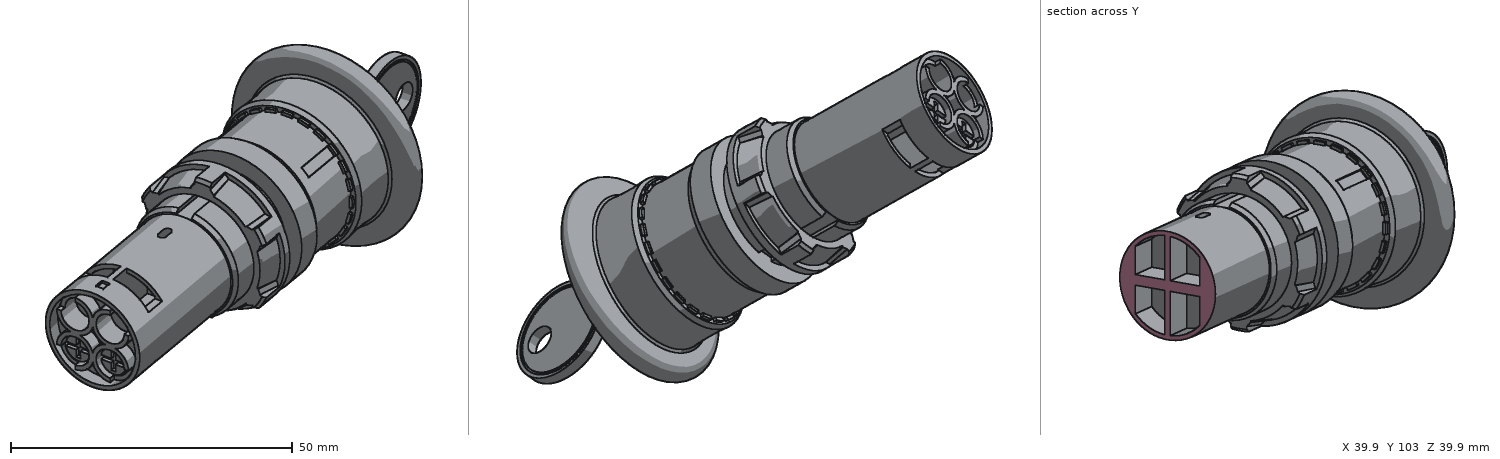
import cadquery as cq
import math


TOTAL_LENGTH = 103.0
CAP_TOP_Y = 79.6
CAP_RIM_Y = 74.7
CAP_BOTTOM_Y = 71.8
SLEEVE_END_Y = 62.4
FLANGE_BACK_Y = 51.4
FLANGE_EDGE_Y = 49.9
FLANGE_FRONT_Y = 45.0
NUT_BACK_Y = 41.5
NUT_FRONT_Y = 34.9
NECK_FRONT_Y = 29.0

KEY_DIAMETER = 19.9
KEY_THICKNESS = 2.2
KEY_CENTRE_Z = -2.0
KEY_NECK_WIDTH = 8.2
KEY_NECK_FILLET = 1.0
KEY_GROOVE_OUTER = 18.3
KEY_GROOVE_INNER = 17.5
KEY_GROOVE_DEPTH = 0.2
KEY_HOLE_DIAMETER = 5.5
KEY_HOLE_OFFSET = 4.5

CAP_DIAMETER = 39.9
CAP_FACE_DIAMETER = 21.0
CAP_FACE_EDGE_HEIGHT = 0.2
CAP_COLLAR_DIAMETER = 31.1
CAP_COLLAR_HEIGHT = 0.4
CAP_RIM_HEIGHT = 4.6
CAP_RIM_INNER_RADIUS = 17.8
SLEEVE_DIAMETER = 30.1
SLEEVE_WAIST_DIAMETER = 29.7
SLEEVE_CHAMFER = 0.6
TOOTH_COUNT = 24
TOOTH_RING_DIAMETER = 28.0
TOOTH_WIDTH = 2.3
TOOTH_HEIGHT = 0.6

TUBE_DIAMETER = 26.8
FLANGE_DIAMETER = 29.0
NECK_DIAMETER = 22.1
NECK_CHAMFER_HEIGHT = 0.9
NECK_CHAMFER_WIDTH = 0.6
BARREL_DIAMETER = 20.2

TUBE_SLOT_WIDTH = 2.2
TUBE_SLOT_LENGTH = 8.8
TUBE_SLOT_FLOOR_DIAMETER = 25.5
TUBE_SLOT_ANGLES = (45, 135)

NECK_SLOT_WIDTH = 3.3

LATCH_HOLE_WIDTH = 1.6
LATCH_HOLE_LENGTH = 3.3
LATCH_HOLE_Y = 23.0
LATCH_HOLE_DEPTH = 2.1

MARK_WIDTH = 1.6
MARK_LENGTH = 2.1
MARK_Y = 3.2
MARK_DEPTH = 0.5

WINDOW_FRONT_Y = 5.7
WINDOW_BACK_Y = 9.9
WINDOW_SILL_Z = 5.9
WINDOW_RIB_THICKNESS = 1.2
CAVITY_WIDTH = 6.1
CAVITY_BACK_Y = 16.5
CAVITY_ROOF_DIAMETER = 18.3
CAVITY_FLOOR_Z = 1.0

RECESS_DIAMETER = 18.3
RECESS_DEPTH = 2.6
TERMINAL_OFFSET = 3.76
BOSS_DIAMETER = 7.8
BOSS_STEP = 1.2
TERMINAL_HOLE_DIAMETER = 6.0
TERMINAL_HOLE_DEPTH = 4.6
SCREW_DIAMETER = 5.4
SCREW_TOP_Y = 1.0
SCREW_SLOT_WIDTH = 0.9
SCREW_CROSS_LENGTH = 4.0
SCREW_SLOT_DEPTH = 0.8

NUT_DIAMETER = 29.0
NUT_FLANGE_FRONT_Y = 39.7
NUT_BACK_BEVEL_WIDTH = 1.3
NUT_BACK_BEVEL_HEIGHT = 0.3
NUT_CHAMFER = 0.6
NUT_CORE_BACK_RADIUS = 13.5
NUT_CORE_FRONT_RADIUS = 12.7
NUT_FACE_RADIUS = 12.4
RIB_COUNT = 6
RIB_WIDTH = 3.4
RIB_BASE_WIDTH = 4.9
RIB_FLARE_HEIGHT = 0.6


def axial_sketch(y):
    """Workplane square to the axis; a negative extrusion grows toward +Y."""
    return cq.Workplane("XZ", origin=(0, y, 0))


def axial_cylinder(diameter, y_start, y_end, x=0.0, z=0.0):
    return axial_sketch(y_start).center(x, z).circle(diameter / 2).extrude(y_start - y_end)


def block(x_range, y_range, z_range):
    """Box between the given limits."""
    limits = (x_range, y_range, z_range)
    sizes = [high - low for low, high in limits]
    corner = [low for low, _ in limits]
    return cq.Workplane("XY").box(*sizes, centered=False).translate(tuple(corner))


def revolve_about_axis(outline):
    return outline.close().revolve(360, (0, 0, 0), (0, 1, 0))


def around_axis(body, angle):
    return body.rotate((0, 0, 0), (0, 1, 0), angle)


def make_key():
    head_y = TOTAL_LENGTH - KEY_DIAMETER / 2
    half_thickness = KEY_THICKNESS / 2
    sheet = cq.Workplane("YZ", origin=(-half_thickness, 0, 0)).center(head_y, KEY_CENTRE_Z)
    neck_length = head_y - CAP_TOP_Y
    head = sheet.circle(KEY_DIAMETER / 2).extrude(KEY_THICKNESS)
    neck = sheet.center(-neck_length / 2, 0).rect(neck_length, KEY_NECK_WIDTH).extrude(KEY_THICKNESS)
    root_y = head_y - math.sqrt((KEY_DIAMETER / 2) ** 2 - (KEY_NECK_WIDTH / 2) ** 2)
    upper_root = (0, root_y, KEY_CENTRE_Z + KEY_NECK_WIDTH / 2)
    key = head.union(neck)
    key = key.edges(cq.selectors.NearestToPointSelector(upper_root)).fillet(KEY_NECK_FILLET)

    hole = sheet.center(KEY_HOLE_OFFSET, 0).circle(KEY_HOLE_DIAMETER / 2).extrude(KEY_THICKNESS)
    key = key.cut(hole)
    groove = (
        sheet.circle(KEY_GROOVE_OUTER / 2).circle(KEY_GROOVE_INNER / 2).extrude(KEY_GROOVE_DEPTH)
    )
    return key.cut(groove).cut(groove.mirror("YZ"))


def make_button():
    sleeve_radius = SLEEVE_DIAMETER / 2
    chamfer_y = SLEEVE_END_Y + SLEEVE_CHAMFER * 1.5
    rim_top_y = CAP_RIM_Y + CAP_RIM_HEIGHT / 2
    rim_bottom_y = CAP_RIM_Y - CAP_RIM_HEIGHT / 2
    outline = (
        cq.Workplane("XY")
        .moveTo(0, CAP_TOP_Y)
        .lineTo(CAP_FACE_DIAMETER / 2, CAP_TOP_Y)
        .lineTo(CAP_FACE_DIAMETER / 2, CAP_TOP_Y - CAP_FACE_EDGE_HEIGHT)
        .lineTo(CAP_RIM_INNER_RADIUS, rim_top_y)
        .threePointArc((CAP_DIAMETER / 2, CAP_RIM_Y), (CAP_RIM_INNER_RADIUS, rim_bottom_y))
        .lineTo(CAP_COLLAR_DIAMETER / 2, CAP_BOTTOM_Y + CAP_COLLAR_HEIGHT)
        .lineTo(sleeve_radius, CAP_BOTTOM_Y)
        .threePointArc(
            (SLEEVE_WAIST_DIAMETER / 2, (CAP_BOTTOM_Y + chamfer_y) / 2), (sleeve_radius, chamfer_y)
        )
        .lineTo(sleeve_radius - SLEEVE_CHAMFER, SLEEVE_END_Y)
        .lineTo(0, SLEEVE_END_Y)
    )
    button = revolve_about_axis(outline)

    tooth_ring = axial_cylinder(TOOTH_RING_DIAMETER, SLEEVE_END_Y - TOOTH_HEIGHT, SLEEVE_END_Y)
    tooth_ring = tooth_ring.cut(axial_cylinder(TUBE_DIAMETER, 0, SLEEVE_END_Y))
    tooth_sector = block(
        (-TOOTH_WIDTH / 2, TOOTH_WIDTH / 2),
        (SLEEVE_END_Y - TOOTH_HEIGHT, SLEEVE_END_Y),
        (0, TOOTH_RING_DIAMETER),
    )
    tooth = tooth_ring.intersect(tooth_sector)
    for index in range(TOOTH_COUNT):
        button = button.union(around_axis(tooth, index * 360 / TOOTH_COUNT))
    return button


def housing_blank():
    barrel = BARREL_DIAMETER / 2
    neck = NECK_DIAMETER / 2
    flange = FLANGE_DIAMETER / 2
    tube = TUBE_DIAMETER / 2
    outline = cq.Workplane("XY").polyline(
        [
            (0, 0),
            (barrel, 0),
            (barrel, NECK_FRONT_Y),
            (neck - NECK_CHAMFER_WIDTH, NECK_FRONT_Y),
            (neck, NECK_FRONT_Y + NECK_CHAMFER_HEIGHT),
            (neck, FLANGE_FRONT_Y),
            (flange, FLANGE_FRONT_Y),
            (flange, FLANGE_EDGE_Y),
            (tube, FLANGE_BACK_Y),
            (tube, SLEEVE_END_Y),
            (0, SLEEVE_END_Y),
        ]
    )
    return revolve_about_axis(outline)


def cut_tube_slots(housing):
    slot = block(
        (TUBE_SLOT_FLOOR_DIAMETER / 2, TUBE_DIAMETER),
        (SLEEVE_END_Y - TUBE_SLOT_LENGTH, SLEEVE_END_Y),
        (-TUBE_SLOT_WIDTH / 2, TUBE_SLOT_WIDTH / 2),
    )
    for angle in TUBE_SLOT_ANGLES:
        housing = housing.cut(around_axis(slot, -angle))
    return housing


def cut_neck_slots(housing):
    slot = block(
        (-NECK_SLOT_WIDTH / 2, NECK_SLOT_WIDTH / 2),
        (NECK_FRONT_Y, FLANGE_FRONT_Y),
        (BARREL_DIAMETER / 2, NECK_DIAMETER),
    )
    return housing.cut(slot).cut(around_axis(slot, 180))


def cut_top_marks(housing):
    barrel_top = cq.Workplane("XY", origin=(0, 0, BARREL_DIAMETER / 2))
    latch_hole = (
        barrel_top.center(0, LATCH_HOLE_Y)
        .slot2D(LATCH_HOLE_LENGTH, LATCH_HOLE_WIDTH, 90)
        .extrude(-LATCH_HOLE_DEPTH)
    )
    mark = barrel_top.center(0, MARK_Y).rect(MARK_WIDTH, MARK_LENGTH).extrude(-MARK_DEPTH)
    return housing.cut(latch_hole).cut(mark)


def cut_windows(housing):
    """Four corner windows, each opening into a longer cavity inside the barrel wall."""
    y_range = (WINDOW_FRONT_Y, WINDOW_BACK_Y)
    rib_side = WINDOW_RIB_THICKNESS / 2
    opening = block((rib_side, BARREL_DIAMETER), y_range, (WINDOW_SILL_Z, BARREL_DIAMETER))
    shaft = block(
        (rib_side, rib_side + CAVITY_WIDTH),
        (WINDOW_FRONT_Y, CAVITY_BACK_Y),
        (CAVITY_FLOOR_Z, BARREL_DIAMETER),
    )
    cavity = shaft.intersect(axial_cylinder(CAVITY_ROOF_DIAMETER, WINDOW_FRONT_Y, CAVITY_BACK_Y))
    window = opening.union(cavity)
    top_pair = window.union(window.mirror("YZ"))
    return housing.cut(top_pair).cut(top_pair.mirror("XY"))


def terminal_boss(side_x, side_z):
    """Hollow boss whose outward quarter is stepped down from the end face."""
    x = side_x * TERMINAL_OFFSET
    z = side_z * TERMINAL_OFFSET
    boss = axial_cylinder(BOSS_DIAMETER, 0, RECESS_DEPTH, x, z)
    quarter = (
        axial_sketch(0)
        .center(x + side_x * BOSS_DIAMETER / 2, z + side_z * BOSS_DIAMETER / 2)
        .rect(BOSS_DIAMETER, BOSS_DIAMETER)
        .extrude(-BOSS_STEP)
    )
    return boss.cut(quarter)


def terminal_screw(side_x):
    """Screw head with a full-width slot and a shorter crossing slot."""
    x = side_x * TERMINAL_OFFSET
    z = -TERMINAL_OFFSET
    screw = axial_cylinder(SCREW_DIAMETER, SCREW_TOP_Y, TERMINAL_HOLE_DEPTH, x, z)
    face = axial_sketch(SCREW_TOP_Y).center(x, z)
    slot = face.rect(SCREW_DIAMETER, SCREW_SLOT_WIDTH).extrude(-SCREW_SLOT_DEPTH)
    cross = face.rect(SCREW_SLOT_WIDTH, SCREW_CROSS_LENGTH).extrude(-SCREW_SLOT_DEPTH)
    return screw.cut(slot).cut(cross)


def add_terminals(housing):
    corners = [(side_x, side_z) for side_x in (-1, 1) for side_z in (-1, 1)]
    housing = housing.cut(axial_cylinder(RECESS_DIAMETER, 0, RECESS_DEPTH))
    for side_x, side_z in corners:
        housing = housing.union(terminal_boss(side_x, side_z))
    for side_x, side_z in corners:
        hole = axial_cylinder(
            TERMINAL_HOLE_DIAMETER, 0, TERMINAL_HOLE_DEPTH,
            side_x * TERMINAL_OFFSET, side_z * TERMINAL_OFFSET,
        )
        housing = housing.cut(hole)
    for side_x in (-1, 1):
        housing = housing.union(terminal_screw(side_x))
    return housing


def make_housing():
    housing = housing_blank()
    housing = cut_tube_slots(housing)
    housing = cut_neck_slots(housing)
    housing = add_terminals(housing)
    housing = cut_windows(housing)
    return cut_top_marks(housing)


def nut_envelope():
    radius = NUT_DIAMETER / 2
    outline = cq.Workplane("XY").polyline(
        [
            (NECK_DIAMETER / 2, NUT_FRONT_Y),
            (radius - NUT_CHAMFER, NUT_FRONT_Y),
            (radius, NUT_FRONT_Y + NUT_CHAMFER),
            (radius, NUT_BACK_Y - NUT_BACK_BEVEL_HEIGHT),
            (radius - NUT_BACK_BEVEL_WIDTH, NUT_BACK_Y),
            (NECK_DIAMETER / 2, NUT_BACK_Y),
        ]
    )
    return revolve_about_axis(outline)


def nut_core():
    """Flange and the tapered ring that the ribs stand on."""
    bore = NECK_DIAMETER / 2
    outline = cq.Workplane("XY").polyline(
        [
            (bore, NUT_FRONT_Y),
            (NUT_FACE_RADIUS, NUT_FRONT_Y),
            (NUT_CORE_FRONT_RADIUS, NUT_FRONT_Y + NUT_CHAMFER),
            (NUT_CORE_BACK_RADIUS, NUT_FLANGE_FRONT_Y),
            (NUT_DIAMETER / 2, NUT_FLANGE_FRONT_Y),
            (NUT_DIAMETER / 2, NUT_BACK_Y),
            (bore, NUT_BACK_Y),
        ]
    )
    return revolve_about_axis(outline)


def rib_section(y, core_radius):
    """Section of a straight rib that flares out where it meets the core."""
    half_width = RIB_WIDTH / 2
    half_base = RIB_BASE_WIDTH / 2
    base_z = math.sqrt(core_radius**2 - half_base**2)
    flare_z = core_radius + RIB_FLARE_HEIGHT
    half_outline = [
        (half_width, NUT_DIAMETER / 2),
        (half_width, flare_z),
        (half_base, base_z),
        (half_base, NECK_DIAMETER / 2),
    ]
    mirrored = [(-x, z) for x, z in reversed(half_outline)]
    return axial_sketch(y).polyline(half_outline + mirrored).close().val()


def nut_rib():
    """Rib whose flare follows the taper of the core."""
    front = rib_section(NUT_FRONT_Y, NUT_CORE_FRONT_RADIUS)
    back = rib_section(NUT_FLANGE_FRONT_Y, NUT_CORE_BACK_RADIUS)
    return cq.Workplane("XY").newObject([cq.Solid.makeLoft([front, back], True)])


def make_nut():
    nut = nut_core()
    rib = nut_rib()
    for index in range(RIB_COUNT):
        nut = nut.union(around_axis(rib, index * 360 / RIB_COUNT))
    return nut.intersect(nut_envelope())


key = make_key()
button = make_button()
housing = make_housing()
nut = make_nut()

result = cq.Compound.makeCompound([body.solids().val() for body in (key, button, housing, nut)])